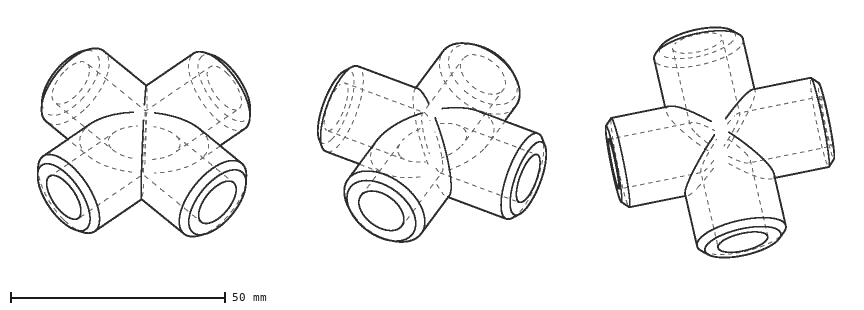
import cadquery as cq

length = 50.8
outer_diameter = 21.35
bore_diameter = 11.9
end_chamfer = 1.6


def centred_rod(plane, diameter):
    """Cylinder of the full length, centred on the origin along the plane normal."""
    return cq.Workplane(plane).circle(diameter / 2).extrude(length / 2, both=True)


def chamfered_rod(plane, end_faces):
    """Outer body of one tube with both end rims chamfered."""
    return centred_rod(plane, outer_diameter).faces(end_faces).edges().chamfer(end_chamfer)


cross = chamfered_rod("YZ", "<X or >X").union(chamfered_rod("XZ", "<Y or >Y"))

for plane in ("YZ", "XZ"):
    cross = cross.cut(centred_rod(plane, bore_diameter))

result = cross